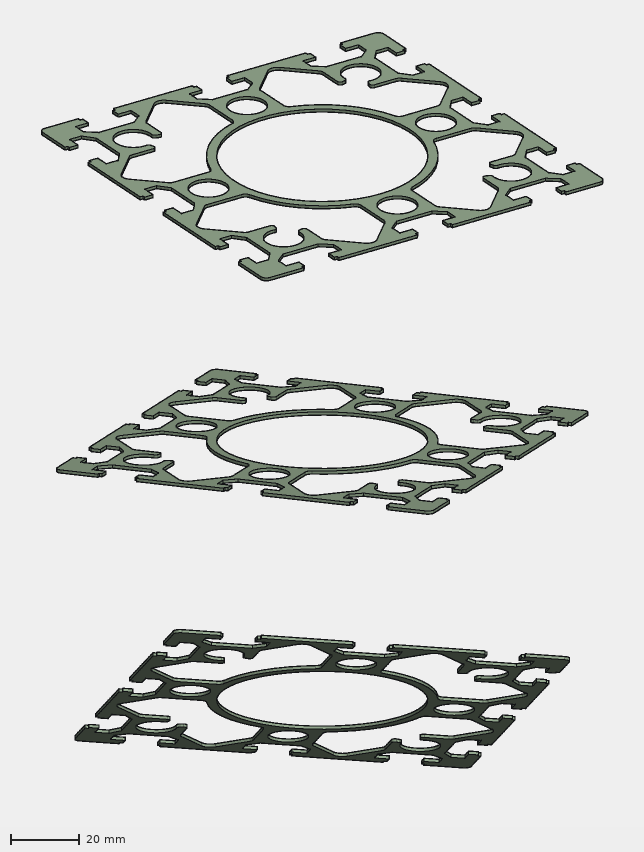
import cadquery as cq
import math

SIDE = 120.0
THICKNESS = 1.0
HALF = SIDE / 2
PITCH = 40.0
CORNER_RADIUS = 2.0
WALL = 3.0

BORE_DIAMETER = 62.0
RING_RADIUS = BORE_DIAMETER / 2 + WALL
CHANNEL_DIAMETER = 12.0
CHANNEL_RADIUS = CHANNEL_DIAMETER / 2
HUB_HALF_WIDTH = CHANNEL_RADIUS + WALL

MOUTH_HALF_WIDTH = 5.25
STEP_HALF_WIDTH = 6.15
STEP_DEPTH = 1.0
LIP_THICKNESS = 4.0
SLOT_HALF_WIDTH = 9.75
SLOT_DEPTH = HALF - PITCH - HUB_HALF_WIDTH
SLOT_FLOOR_HALF_WIDTH = 6.2
SLOT_SIDE_DEPTH = 8.15

PEAK_DEPTH = 1.8
ROOM_FILLET = 2.0
PEAK_FILLET = 3.0
HOOK_ANGLE = math.radians(15)
HOOK_TIP_FILLET = 1.0


def make_plate():
    plate = cq.Workplane("XY").rect(SIDE, SIDE).extrude(THICKNESS)
    return plate.edges("|Z").fillet(CORNER_RADIUS)


def make_t_slot(offset):
    """T-slot in the +Y face, centred at X = offset."""
    right_side = [
        (STEP_HALF_WIDTH, 0),
        (STEP_HALF_WIDTH, STEP_DEPTH),
        (MOUTH_HALF_WIDTH, STEP_DEPTH),
        (MOUTH_HALF_WIDTH, LIP_THICKNESS),
        (SLOT_HALF_WIDTH, LIP_THICKNESS),
        (SLOT_HALF_WIDTH, SLOT_SIDE_DEPTH),
        (SLOT_FLOOR_HALF_WIDTH, SLOT_DEPTH),
    ]
    left_side = [(-x, depth) for x, depth in reversed(right_side)]
    outline = [(offset + x, HALF - depth) for x, depth in right_side + left_side]
    return cq.Workplane("XY").polyline(outline).close().extrude(THICKNESS)


def make_room():
    """Room in the +X +Y quarter, joined to the open corner channel between two hooks."""
    peak = HALF - PEAK_DEPTH
    peak_centre = PITCH / 2
    shoulder = peak - (peak_centre - HUB_HALF_WIDTH)
    hub_face = PITCH - HUB_HALF_WIDTH
    ring_meet = math.sqrt(RING_RADIUS**2 - HUB_HALF_WIDTH**2)
    ring_middle = RING_RADIUS * math.sqrt(0.5)
    hook_outer_end = PITCH - HUB_HALF_WIDTH * math.tan(HOOK_ANGLE)
    hook_inner_x = PITCH - CHANNEL_RADIUS * math.cos(HOOK_ANGLE)
    hook_inner_y = PITCH - CHANNEL_RADIUS * math.sin(HOOK_ANGLE)
    channel_far = PITCH + CHANNEL_RADIUS * math.sqrt(0.5)

    room = (
        cq.Workplane("XY")
        .moveTo(HUB_HALF_WIDTH, ring_meet)
        .lineTo(HUB_HALF_WIDTH, shoulder)
        .lineTo(peak_centre, peak)
        .lineTo(hub_face, shoulder)
        .lineTo(hub_face, hook_outer_end)
        .lineTo(hook_inner_x, hook_inner_y)
        .threePointArc((channel_far, channel_far), (hook_inner_y, hook_inner_x))
        .lineTo(hook_outer_end, hub_face)
        .lineTo(shoulder, hub_face)
        .lineTo(peak, peak_centre)
        .lineTo(shoulder, HUB_HALF_WIDTH)
        .lineTo(ring_meet, HUB_HALF_WIDTH)
        .threePointArc((ring_middle, ring_middle), (HUB_HALF_WIDTH, ring_meet))
        .close()
        .extrude(THICKNESS)
    )
    hook_tips = cq.selectors.BoxSelector(
        (hub_face - ROOM_FILLET, hub_face - ROOM_FILLET, 0),
        (PITCH, PITCH, THICKNESS),
    )
    upright = cq.selectors.ParallelDirSelector(cq.Vector(0, 0, 1))
    peaks = cq.selectors.StringSyntaxSelector(">X or >Y")
    room = room.edges(upright - hook_tips - peaks).fillet(ROOM_FILLET)
    room = room.edges(upright & peaks).fillet(PEAK_FILLET)
    return room.edges(upright & hook_tips).fillet(HOOK_TIP_FILLET)


def make_bore_and_channels():
    """Bore in the middle and the closed round channel on each side of it."""
    centres = [(PITCH, 0), (-PITCH, 0), (0, PITCH), (0, -PITCH)]
    bore = cq.Workplane("XY").circle(BORE_DIAMETER / 2).extrude(THICKNESS)
    channels = cq.Workplane("XY").pushPoints(centres).circle(CHANNEL_RADIUS).extrude(THICKNESS)
    return bore.union(channels)


QUARTER_TURN = 90
result = make_plate().cut(make_bore_and_channels())
quarter_cuts = [make_room()] + [make_t_slot(offset) for offset in (-PITCH, 0, PITCH)]
for quarter in range(4):
    for cutter in quarter_cuts:
        result = result.cut(cutter.rotate((0, 0, 0), (0, 0, 1), QUARTER_TURN * quarter))